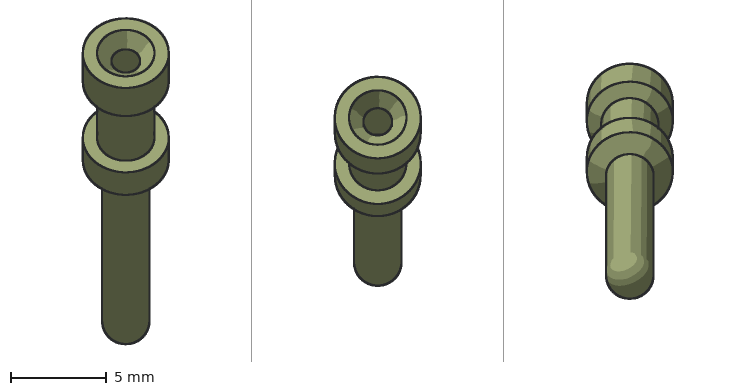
import cadquery as cq
import math

length = 25.0
flange_radius = 2.25
neck_radius = 1.5
pin_radius = 1.25

cone_slope = math.tan(math.radians(30))
head_cone_top = 22.5
head_cone_bottom = head_cone_top - (flange_radius - neck_radius) * cone_slope
collar_top = 17.5
collar_cone_top = 15.5
collar_cone_bottom = collar_cone_top - (flange_radius - pin_radius) * cone_slope

hole_radius = 0.75
hole_depth = 5.0
countersink_radius = 1.5
countersink_depth = 0.7


def revolve_about_z(profile):
    """Turn a closed radius-height profile about the Z axis."""
    return profile.close().revolve(360, (0, 0, 0), (0, 1, 0))


def make_body():
    tip_diagonal = pin_radius * math.cos(math.radians(45))
    profile = (
        cq.Workplane("XZ")
        .moveTo(0, 0)
        .threePointArc((tip_diagonal, pin_radius - tip_diagonal), (pin_radius, pin_radius))
        .lineTo(pin_radius, collar_cone_bottom)
        .lineTo(flange_radius, collar_cone_top)
        .lineTo(flange_radius, collar_top)
        .lineTo(neck_radius, collar_top)
        .lineTo(neck_radius, head_cone_bottom)
        .lineTo(flange_radius, head_cone_top)
        .lineTo(flange_radius, length)
        .lineTo(0, length)
    )
    return revolve_about_z(profile)


def make_wire_hole():
    hole_bottom = length - hole_depth
    profile = (
        cq.Workplane("XZ")
        .moveTo(0, hole_bottom)
        .lineTo(hole_radius, hole_bottom)
        .lineTo(hole_radius, length - countersink_depth)
        .lineTo(countersink_radius, length)
        .lineTo(0, length)
    )
    return revolve_about_z(profile)


result = make_body().cut(make_wire_hole())